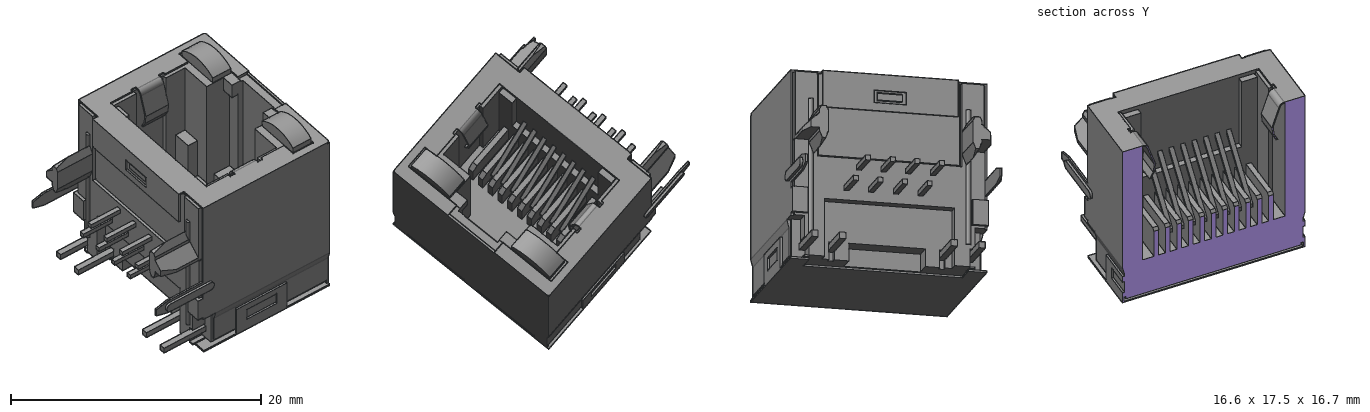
import cadquery as cq


OVERALL_WIDTH = 16.64
OVERALL_DEPTH = 17.53

SHELL_HALF = 8.1
SHELL_BACK = 12.8
SHELL_TOP = 15.69
SHEET = 0.15
TOP_CORNER_R = 0.23
SKIRT_TOP = 3.55
SKIRT_SHOULDER = 2.9
SKIRT_BOTTOM = 0.53
SKIRT_HALF = 7.92
SKIRT_FRONT = 1.25

HOUSING_HALF = 7.78
HOUSING_BOTTOM = 0.3
HOUSING_TOP = SHELL_TOP - SHEET
HOUSING_FRONT = -0.25
STEP_TOP = 9.9
STEP_HALF = 7.87
FOOT_CORNER_X = 7.05
FOOT_CORNER_Y = 1.02

PANEL_FRONT = -0.09
PANEL_HALF = 5.82
PANEL_BOTTOM = 8.73
PANEL_GAP = 0.14
FLAP_HALF = 5.6
FLAP_BOTTOM = 12.65
FLAP_FRONT = -0.53
WINDOW_HALF = 1.33
WINDOW_BOTTOM = 13.32
WINDOW_TOP = 14.35
CATCH_HALF = 1.02
CATCH_BOTTOM = 13.6
CATCH_BEVEL = 0.21
CATCH_FRONT = -0.35
BEAD_X = 6.5
BEAD_R = 0.21
BEAD_BOTTOM, BEAD_TOP = 2.14, 13.32
EAR_INNER = 6.8
EAR_BOTTOM, EAR_TOP = 3.77, 5.85
RECESS_HALF = 5.36
RECESS_TOP = 5.1
RECESS_DEPTH = 0.85
NOTCH_HALF = 3.15
NOTCH_TOP = 1.77
NOTCH_DEPTH = 1.56

CAVITY_HALF = 5.95
CAVITY_FRONT, CAVITY_BACK = 1.77, 9.1
CAVITY_FLOOR = 3.85
OPENING_HALF = 6.24
LATCH_HALF = 3.14
LATCH_STEP_Y = 9.83
LATCH_FLOOR = 5.61
LATCH_WIDE_BACK = 10.8
LATCH_UNDERCUT_BACK = 11.43
LATCH_NARROW_HALF = 2.03
LATCH_BACK = 11.9
LATCH_CAP_HEIGHT = 1.37
LATCH_OPENING_HALF = 2.4
LATCH_LEDGE_DROP = 0.1
SHELL_BACK_SHEET = 0.21
KEY_INNER = 4.33
KEY_FRONT = 8.15
KEY_TOP = 8.76

LIGHT_INNER, LIGHT_OUTER = 3.2, 7.22
LIGHT_FRONT, LIGHT_BACK = 9.76, 11.6
LIGHT_BOTTOM = 9.65
LIGHT_SHOULDER = 16.04
LIGHT_TOP = 16.7
LIGHT_OPENING_HALF = 7.43
LIGHT_OPENING_FRONT, LIGHT_OPENING_BACK = 9.62, 11.7

CONTACT_PITCH = 1.02
CONTACT_COUNT = 8
CONTACT_W = 0.4
CONTACT_TIP = -3.2
CONTACT_Z = (6.1, 7.87)
SPRING_BACK = 5.84
SPRING_LOW, SPRING_HIGH = 5.26, 10.0
SPRING_SHEET = 0.35
RIB_COUNT = 11
RIB_W = 0.45
RIB_BACK = 6.73
RIB_SLOPE = 0.53
RIB_TOP = 6.66
SILL_HALF = 5.85
SILL_BACK = 2.3
SILL_TOP = 8.59
SILL_END_INNER = 4.47
SILL_END_TOP = 15.32
LEAD_INNER_X, LEAD_OUTER_X = 4.58, 6.87
LEAD_W = 0.53
LEAD_Z = 1.3
SHORT_LEAD_TIP = -2.98
CHANNEL_W = 0.45
CHANNEL_TOP = 1.77

PEG_X = 6.33
PEG_INNER, PEG_OUTER = 5.98, 6.7
PEG_LOWER, PEG_UPPER = 9.62, 11.46
PEG_WING_ROOT, PEG_WING_TOP = 11.17, 10.2
PEG_TIP = -3.79
PEG_TAPER_START = -2.45
PEG_BOTTOM, PEG_TOP = 8.73, 12.13
PEG_TIP_INSET = 0.37

BLADE_TIP = SHELL_BACK - OVERALL_DEPTH
BLADE_BOTTOM, BLADE_TOP = 6.35, 7.65
BLADE_TAPER_START = -3.6
BLADE_TIP_INSET = 0.32
PAD_OUTER_X = OVERALL_WIDTH / 2
PAD_FRONT, PAD_BACK = -3.84, 0.96
PAD_W = 0.8

FINGER_FRONT, FINGER_BACK = 4.5, 6.8
FINGER_NEAR = 5.14
FINGER_RELIEF_HALF = 6.47
FINGER_RELIEF = 0.49
FINGER_POCKET_HALF = 6.31
FINGER_POCKET_GAP = 0.35
BEND_X, BEND_Z = 5.75, 15.25
BEND_MID_X, BEND_MID_Z = 5.93, 15.57
NOSE_Z = 13.43
TAIL_X, TAIL_Z = 5.22, 12.62
TAIL_END_X, TAIL_END_Z = 5.54, 12.0

PLATE_FRONT = 0.05
PLATE_NOTCH_BACK = 1.93
TAB_FRONT, TAB_BACK = 3.38, 8.5
TAB_TOP = 2.73
TAB_WINDOW_FRONT, TAB_WINDOW_BACK = 4.42, 7.49
TAB_WINDOW_BOTTOM, TAB_WINDOW_TOP = 1.09, 2.14
STRIP_INNER = 6.57
MIDDLE_STRIP_HALF = 0.7


def block(x0, x1, y0, y1, z0, z1):
    """Box between two opposite corners."""
    return cq.Workplane("XY").box(x1 - x0, y1 - y0, z1 - z0, centered=False).translate((x0, y0, z0))


def centred(half, y0, y1, z0, z1):
    """Box that straddles the mid plane."""
    return block(-half, half, y0, y1, z0, z1)


def mirrored(solid):
    """The solid together with its mirror image across the mid plane."""
    return solid.union(solid.mirror("YZ"))


def prism_x(points, x0, x1):
    """Prism along X from (y, z) points."""
    return cq.Workplane("YZ").polyline(points).close().extrude(x1 - x0).translate((x0, 0, 0))


def prism_y(points, y0, y1):
    """Prism along Y from (x, z) points."""
    return cq.Workplane("XZ").polyline(points).close().extrude(y0 - y1).translate((0, y0, 0))


def make_body():
    walls = centred(SHELL_HALF, 0, SHELL_BACK, SKIRT_TOP, HOUSING_TOP)
    top = centred(SHELL_HALF, 0, SHELL_BACK, HOUSING_TOP, SHELL_TOP)
    shell = walls.union(top.edges("|Z and >Y").fillet(TOP_CORNER_R))
    skirt = [
        (-SHELL_HALF, SKIRT_TOP),
        (-SKIRT_HALF, SKIRT_SHOULDER),
        (-SKIRT_HALF, SKIRT_BOTTOM),
        (SKIRT_HALF, SKIRT_BOTTOM),
        (SKIRT_HALF, SKIRT_SHOULDER),
        (SHELL_HALF, SKIRT_TOP),
    ]
    body = shell.union(prism_y(skirt, SKIRT_FRONT, SHELL_BACK))
    body = body.union(centred(HOUSING_HALF, HOUSING_FRONT, SHELL_BACK - SHEET, HOUSING_BOTTOM, HOUSING_TOP))
    body = body.union(centred(STEP_HALF, HOUSING_FRONT, 0, SKIRT_TOP, STEP_TOP))
    corner = block(FOOT_CORNER_X, SHELL_HALF, HOUSING_FRONT, FOOT_CORNER_Y, 0, SKIRT_TOP)
    seam = block(HOUSING_HALF, SHELL_HALF - SHEET, 0, SHEET, STEP_TOP, HOUSING_TOP)
    lower_seam = block(STEP_HALF, SHELL_HALF - SHEET, 0, SHEET, EAR_TOP, STEP_TOP)
    return body.cut(mirrored(corner)).cut(mirrored(seam.union(lower_seam)))


def cut_front(body):
    pocket_half = PANEL_HALF + PANEL_GAP
    pocket_bottom = PANEL_BOTTOM - PANEL_GAP
    body = body.cut(centred(pocket_half, HOUSING_FRONT, SHEET, pocket_bottom, HOUSING_TOP))
    body = body.union(centred(PANEL_HALF, PANEL_FRONT, SHEET, PANEL_BOTTOM, HOUSING_TOP))
    recess_back = HOUSING_FRONT + RECESS_DEPTH
    body = body.cut(centred(RECESS_HALF, HOUSING_FRONT, recess_back, 0, RECESS_TOP))
    return body.cut(centred(NOTCH_HALF, recess_back, recess_back + NOTCH_DEPTH, 0, NOTCH_TOP))


def make_flap():
    flap = centred(FLAP_HALF, FLAP_FRONT, FLAP_FRONT + SHEET, FLAP_BOTTOM, SHELL_TOP)
    flap = flap.cut(centred(WINDOW_HALF, FLAP_FRONT, 0, WINDOW_BOTTOM, WINDOW_TOP))
    bend = centred(FLAP_HALF, FLAP_FRONT, 0, HOUSING_TOP, SHELL_TOP)
    catch = prism_x(
        [
            (0, CATCH_BOTTOM),
            (CATCH_FRONT, CATCH_BOTTOM),
            (CATCH_FRONT, WINDOW_TOP - CATCH_BEVEL),
            (0, WINDOW_TOP),
        ],
        -CATCH_HALF,
        CATCH_HALF,
    )
    return flap.union(bend).union(catch)


def make_beads_and_ears():
    bead = cq.Workplane("XY").circle(BEAD_R).extrude(BEAD_TOP - BEAD_BOTTOM)
    bead = bead.translate((BEAD_X, HOUSING_FRONT, BEAD_BOTTOM))
    ear = block(EAR_INNER, SHELL_HALF, FLAP_FRONT, 0, EAR_BOTTOM, EAR_TOP)
    return mirrored(bead.union(ear))


def cut_cavity(body):
    body = body.cut(centred(OPENING_HALF, CAVITY_FRONT, LIGHT_OPENING_FRONT, HOUSING_TOP, SHELL_TOP))
    body = body.cut(
        centred(LIGHT_OPENING_HALF, LIGHT_OPENING_FRONT, LIGHT_OPENING_BACK, HOUSING_TOP, SHELL_TOP)
    )
    notch_back = SHELL_BACK - SHELL_BACK_SHEET
    ledge = HOUSING_TOP - LATCH_LEDGE_DROP
    body = body.cut(centred(LATCH_OPENING_HALF, LIGHT_OPENING_BACK, notch_back, ledge, SHELL_TOP))
    body = body.cut(centred(LATCH_OPENING_HALF, notch_back, SHELL_BACK, HOUSING_TOP, SHELL_TOP))
    relief_front = FINGER_FRONT - FINGER_RELIEF
    relief_back = FINGER_BACK + FINGER_RELIEF
    body = body.cut(centred(FINGER_RELIEF_HALF, relief_front, relief_back, HOUSING_TOP, SHELL_TOP))

    body = body.cut(centred(CAVITY_HALF, CAVITY_FRONT, CAVITY_BACK, CAVITY_FLOOR, HOUSING_TOP))
    body = body.cut(centred(LATCH_HALF, CAVITY_BACK, LATCH_STEP_Y, CAVITY_FLOOR, HOUSING_TOP))
    body = body.cut(centred(LATCH_HALF, LATCH_STEP_Y, LATCH_WIDE_BACK, LATCH_FLOOR, HOUSING_TOP))
    body = body.cut(centred(LATCH_NARROW_HALF, LATCH_WIDE_BACK, LATCH_BACK, LATCH_FLOOR, HOUSING_TOP))
    cap_bottom = HOUSING_TOP - LATCH_CAP_HEIGHT
    body = body.cut(centred(LATCH_HALF, LATCH_WIDE_BACK, LATCH_UNDERCUT_BACK, LATCH_FLOOR, cap_bottom))
    pocket_front = FINGER_FRONT - FINGER_POCKET_GAP
    pocket_back = FINGER_BACK + FINGER_POCKET_GAP
    body = body.cut(centred(FINGER_POCKET_HALF, pocket_front, pocket_back, CAVITY_FLOOR, HOUSING_TOP))
    key = block(KEY_INNER, CAVITY_HALF, KEY_FRONT, CAVITY_BACK, CAVITY_FLOOR, KEY_TOP)
    return body.union(mirrored(key))


def make_lights():
    middle = (LIGHT_INNER + LIGHT_OUTER) / 2
    light = (
        cq.Workplane("XZ")
        .moveTo(LIGHT_INNER, LIGHT_BOTTOM)
        .lineTo(LIGHT_INNER, LIGHT_SHOULDER)
        .threePointArc((middle, LIGHT_TOP), (LIGHT_OUTER, LIGHT_SHOULDER))
        .lineTo(LIGHT_OUTER, LIGHT_BOTTOM)
        .close()
        .extrude(LIGHT_FRONT - LIGHT_BACK)
        .translate((0, LIGHT_FRONT, 0))
    )
    return mirrored(light)


def make_contacts():
    """Pins through the front, with their sloping springs inside the cavity."""
    sill = centred(SILL_HALF, CAVITY_FRONT, SILL_BACK, CAVITY_FLOOR, SILL_TOP)
    sill_end = block(SILL_END_INNER, SILL_HALF, CAVITY_FRONT, SILL_BACK, CAVITY_FLOOR, SILL_END_TOP)
    contacts = sill.union(mirrored(sill_end))
    for i in range(CONTACT_COUNT):
        x = (i - (CONTACT_COUNT - 1) / 2) * CONTACT_PITCH
        x0 = x - CONTACT_W / 2
        x1 = x + CONTACT_W / 2
        z0 = CONTACT_Z[i % 2] - CONTACT_W / 2
        spring = prism_x(
            [
                (CAVITY_FRONT, SPRING_HIGH + SPRING_SHEET),
                (SPRING_BACK, SPRING_LOW + SPRING_SHEET),
                (SPRING_BACK, SPRING_LOW),
                (CAVITY_FRONT, SPRING_HIGH),
            ],
            x0,
            x1,
        )
        contacts = contacts.union(block(x0, x1, CONTACT_TIP, CAVITY_FRONT, z0, z0 + CONTACT_W))
        contacts = contacts.union(spring)
    for i in range(RIB_COUNT):
        x = (i - (RIB_COUNT - 1) / 2) * CONTACT_PITCH
        rib = prism_x(
            [
                (CAVITY_FRONT, CAVITY_FLOOR),
                (RIB_BACK, CAVITY_FLOOR),
                (RIB_BACK, RIB_TOP - RIB_SLOPE),
                (RIB_BACK - RIB_SLOPE, RIB_TOP),
                (CAVITY_FRONT, RIB_TOP),
            ],
            x - RIB_W / 2,
            x + RIB_W / 2,
        )
        contacts = contacts.union(rib)
    return contacts


def add_light_leads(body):
    half = LEAD_W / 2
    channel_half = CHANNEL_W / 2
    root = FOOT_CORNER_Y + LEAD_W
    for x in (-LEAD_OUTER_X, -LEAD_INNER_X, LEAD_INNER_X, LEAD_OUTER_X):
        channel = block(x - channel_half, x + channel_half, HOUSING_FRONT, FOOT_CORNER_Y, 0, CHANNEL_TOP)
        tip = SHORT_LEAD_TIP if x < 0 else CONTACT_TIP
        lead = block(x - half, x + half, tip, root, LEAD_Z - half, LEAD_Z + half)
        body = body.cut(channel).union(lead)
    foot = block(
        LEAD_OUTER_X - channel_half,
        FOOT_CORNER_X,
        HOUSING_FRONT,
        FOOT_CORNER_Y,
        SHEET,
        HOUSING_BOTTOM,
    )
    return body.union(mirrored(foot))


def make_pegs():
    """Ribbed posts with one wing each, tapered at the tip."""
    outline = [
        (PEG_X, PEG_TOP),
        (PEG_OUTER, PEG_UPPER),
        (PEG_OUTER, PEG_WING_ROOT),
        (HOUSING_HALF, PEG_WING_TOP),
        (HOUSING_HALF, STEP_TOP),
        (PEG_OUTER, STEP_TOP),
        (PEG_OUTER, PEG_LOWER),
        (PEG_X, PEG_BOTTOM),
        (PEG_INNER, PEG_LOWER),
        (PEG_INNER, PEG_UPPER),
    ]
    peg = prism_y(outline, PEG_TIP, 0)
    side_taper = [
        (-SHELL_HALF, 0),
        (SHELL_HALF, 0),
        (SHELL_HALF, PEG_TAPER_START),
        (HOUSING_HALF, PEG_TAPER_START),
        (HOUSING_HALF - PEG_TIP_INSET, PEG_TIP),
        (-SHELL_HALF, PEG_TIP),
    ]
    height_taper = [
        (0, PEG_BOTTOM),
        (PEG_TAPER_START, PEG_BOTTOM),
        (PEG_TIP, PEG_BOTTOM + PEG_TIP_INSET),
        (PEG_TIP, PEG_TOP - PEG_TIP_INSET),
        (PEG_TAPER_START, PEG_TOP),
        (0, PEG_TOP),
    ]
    peg = peg.intersect(cq.Workplane("XY").polyline(side_taper).close().extrude(SHELL_TOP))
    peg = peg.intersect(prism_x(height_taper, 0, SHELL_HALF))
    return mirrored(peg)


def make_blades():
    blade = prism_x(
        [
            (0, BLADE_BOTTOM),
            (BLADE_TAPER_START, BLADE_BOTTOM),
            (BLADE_TIP, BLADE_BOTTOM + BLADE_TIP_INSET),
            (BLADE_TIP, BLADE_TOP - BLADE_TIP_INSET),
            (BLADE_TAPER_START, BLADE_TOP),
            (0, BLADE_TOP),
        ],
        SHELL_HALF - SHEET,
        SHELL_HALF,
    )
    pad = (
        cq.Workplane("YZ")
        .center((PAD_FRONT + PAD_BACK) / 2, (BLADE_BOTTOM + BLADE_TOP) / 2)
        .slot2D(PAD_BACK - PAD_FRONT, PAD_W)
        .extrude(PAD_OUTER_X - SHELL_HALF + SHEET)
        .translate((SHELL_HALF - SHEET, 0, 0))
    )
    return mirrored(blade.union(pad))


def make_fingers():
    """Springs folded from the top edge down into the cavity."""
    finger = (
        cq.Workplane("XZ")
        .moveTo(FINGER_RELIEF_HALF, SHELL_TOP)
        .lineTo(OPENING_HALF, SHELL_TOP)
        .threePointArc((BEND_MID_X, BEND_MID_Z), (BEND_X, BEND_Z))
        .lineTo(FINGER_NEAR, NOSE_Z)
        .lineTo(TAIL_X, TAIL_Z)
        .lineTo(TAIL_END_X, TAIL_END_Z)
        .lineTo(TAIL_END_X + SHEET, TAIL_END_Z)
        .lineTo(TAIL_X + SHEET, TAIL_Z)
        .lineTo(FINGER_NEAR + SHEET, NOSE_Z)
        .lineTo(BEND_X + SHEET, BEND_Z)
        .threePointArc((BEND_MID_X + SHEET, BEND_MID_Z - SHEET / 2), (OPENING_HALF, HOUSING_TOP))
        .lineTo(FINGER_RELIEF_HALF, HOUSING_TOP)
        .close()
        .extrude(FINGER_FRONT - FINGER_BACK)
        .translate((0, FINGER_FRONT, 0))
    )
    return mirrored(finger)


def make_bottom_plate():
    plate = centred(SHELL_HALF, PLATE_FRONT, SHELL_BACK, 0, SHEET)
    plate = plate.cut(centred(STRIP_INNER, PLATE_FRONT, PLATE_NOTCH_BACK, 0, SHEET))
    tab = block(SKIRT_HALF, SHELL_HALF, TAB_FRONT, TAB_BACK, 0, TAB_TOP)
    window = block(
        SKIRT_HALF, SHELL_HALF, TAB_WINDOW_FRONT, TAB_WINDOW_BACK, TAB_WINDOW_BOTTOM, TAB_WINDOW_TOP
    )
    strip = block(STRIP_INNER, SKIRT_HALF, SHELL_BACK - SHEET, SHELL_BACK, 0, SKIRT_BOTTOM)
    middle_strip = centred(MIDDLE_STRIP_HALF, SHELL_BACK - SHEET, SHELL_BACK, 0, SKIRT_BOTTOM)
    return plate.union(middle_strip).union(mirrored(tab.cut(window).union(strip)))


body = cut_cavity(cut_front(make_body()))
body = add_light_leads(body)
result = (
    body.union(make_flap())
    .union(make_beads_and_ears())
    .union(make_lights())
    .union(make_contacts())
    .union(make_pegs())
    .union(make_blades())
    .union(make_fingers())
    .union(make_bottom_plate())
)